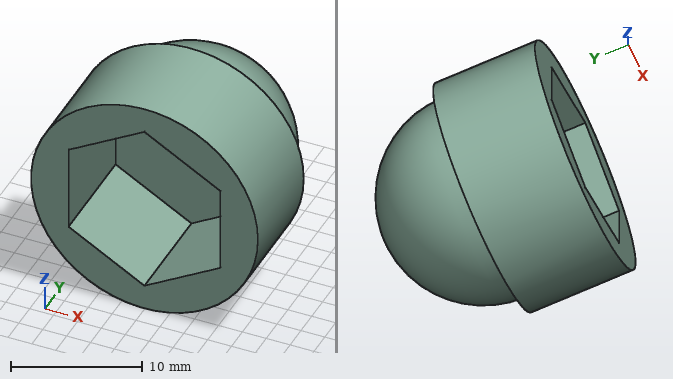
import cadquery as cq
import math

body_diameter = 19.0
body_length = 8.5
dome_radius = 8.25
hex_across_flats = 12.7
hex_depth = 8.7

hex_across_corners = hex_across_flats / math.cos(math.radians(30))


def cylindrical_body():
    """Round skirt of the cap, running from its open end at Y = 0 toward +Y."""
    return cq.Workplane("XZ").circle(body_diameter / 2).extrude(-body_length)


def dome():
    """Hemisphere closing the cap, with its flat face on the end of the body."""
    return (
        cq.Workplane("XY")
        .moveTo(0, body_length)
        .lineTo(dome_radius, body_length)
        .radiusArc((0, body_length + dome_radius), -dome_radius)
        .close()
        .revolve(360, (0, 0, 0), (0, 1, 0))
    )


def hex_socket():
    """Blind hexagonal socket, with two flats square to X and corners on the Z axis."""
    return (
        cq.Workplane("XZ")
        .transformed(rotate=(0, 0, 90))
        .polygon(6, hex_across_corners)
        .extrude(-hex_depth)
    )


result = cylindrical_body().union(dome()).cut(hex_socket())